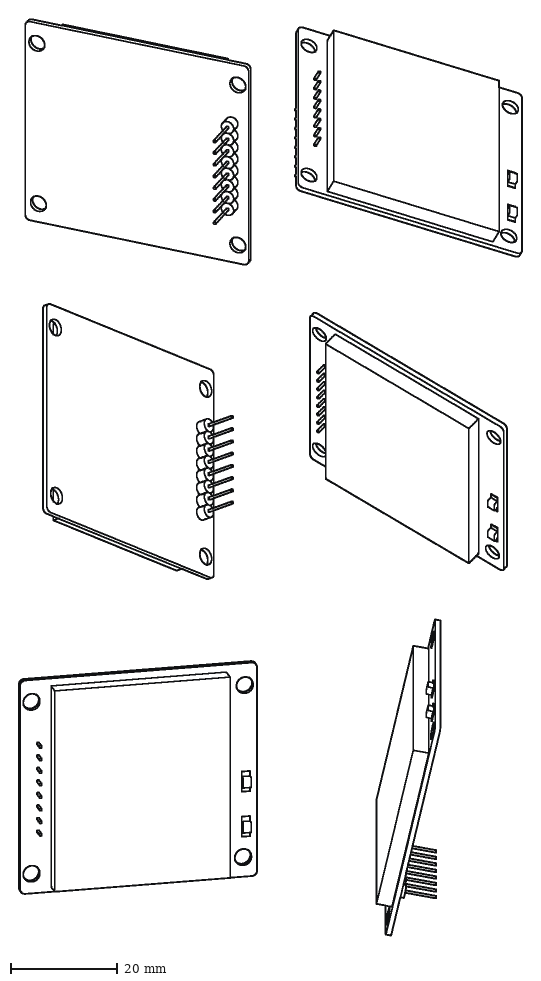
import cadquery as cq


BOARD_WIDTH = 46.0
BOARD_HEIGHT = 42.5
BOARD_THICKNESS = 1.0
BOARD_CORNER_RADIUS = 1.0
LEFT = -BOARD_WIDTH / 2
RIGHT = BOARD_WIDTH / 2
BOTTOM = -BOARD_HEIGHT / 2
TOP = BOARD_HEIGHT / 2

HOLE_DIAMETER = 3.2
UPPER_LEFT_INSET = 2.4
LOWER_LEFT_INSET = 2.7
RIGHT_INSET = 2.25
UPPER_INSET = 4.35
LOWER_INSET = 3.9
HOLE_CENTRES = [
    (LEFT + UPPER_LEFT_INSET, TOP - UPPER_INSET),
    (RIGHT - RIGHT_INSET, TOP - UPPER_INSET),
    (LEFT + LOWER_LEFT_INSET, BOTTOM + LOWER_INSET),
    (RIGHT - RIGHT_INSET, BOTTOM + LOWER_INSET),
]

DISPLAY_WIDTH = 34.0
DISPLAY_HEIGHT = 40.0
DISPLAY_THICKNESS = 3.0
DISPLAY_BOTTOM_MARGIN = 1.0

PIN_COUNT = 8
PIN_ROW_SPAN = 17.5
PIN_PITCH = PIN_ROW_SPAN / (PIN_COUNT - 1)
PIN_ROW_INSET = 3.5
LOWEST_PIN_HEIGHT = 12.3
PIN_DIAMETER = 0.5
PIN_FRONT_LENGTH = 8.0
PIN_BACK_LENGTH = 2.05
COLLAR_DIAMETER = 2.55
COLLAR_LENGTH = 2.0

SWITCH_WIDTH = 1.55
SWITCH_LEFT_INSET = 1.43
SWITCH_BODY_HEIGHT = 2.05
SWITCH_BODY_DEPTH = 1.1
SWITCH_EDGE_RADIUS = 0.3
SWITCH_FOOT_HEIGHT = 4.0
SWITCH_FOOT_DEPTH = 0.15
LOWER_SWITCH_HEIGHT = 10.05
SWITCH_SPACING = 8.95


def block(width, depth, height, x, y, z):
    """Box centred on x and z that extends from y toward +Y."""
    return cq.Workplane("XY").box(width, depth, height, centered=(True, False, True)).translate((x, y, z))


def rod(diameter, x, z, y_start, y_end):
    """Round bar along Y."""
    profile = cq.Workplane("XZ", origin=(x, y_start, z)).circle(diameter / 2)
    return profile.extrude(y_start - y_end)


def board():
    plate = block(BOARD_WIDTH, BOARD_THICKNESS, BOARD_HEIGHT, 0, 0, 0)
    plate = plate.edges("|Y").fillet(BOARD_CORNER_RADIUS)
    for x, z in HOLE_CENTRES:
        plate = plate.cut(rod(HOLE_DIAMETER, x, z, 0, BOARD_THICKNESS))
    return plate


def display():
    z = BOTTOM + DISPLAY_BOTTOM_MARGIN + DISPLAY_HEIGHT / 2
    return block(DISPLAY_WIDTH, DISPLAY_THICKNESS, DISPLAY_HEIGHT, 0, BOARD_THICKNESS, z)


def header_pin(z):
    x = RIGHT - PIN_ROW_INSET
    collar = rod(COLLAR_DIAMETER, x, z, -COLLAR_LENGTH, 0)
    pin = rod(PIN_DIAMETER, x, z, -PIN_FRONT_LENGTH, BOARD_THICKNESS + PIN_BACK_LENGTH)
    return collar.union(pin)


def switch(z):
    x = LEFT + SWITCH_LEFT_INSET + SWITCH_WIDTH / 2
    body = block(SWITCH_WIDTH, SWITCH_BODY_DEPTH, SWITCH_BODY_HEIGHT, x, BOARD_THICKNESS, z)
    body = body.faces(">Y").edges("|X").fillet(SWITCH_EDGE_RADIUS)
    foot = block(SWITCH_WIDTH, SWITCH_FOOT_DEPTH, SWITCH_FOOT_HEIGHT, x, BOARD_THICKNESS, z)
    return body.union(foot)


result = board().union(display())
for index in range(PIN_COUNT):
    result = result.union(header_pin(BOTTOM + LOWEST_PIN_HEIGHT + index * PIN_PITCH))
for offset in (0, SWITCH_SPACING):
    result = result.union(switch(BOTTOM + LOWER_SWITCH_HEIGHT + offset))